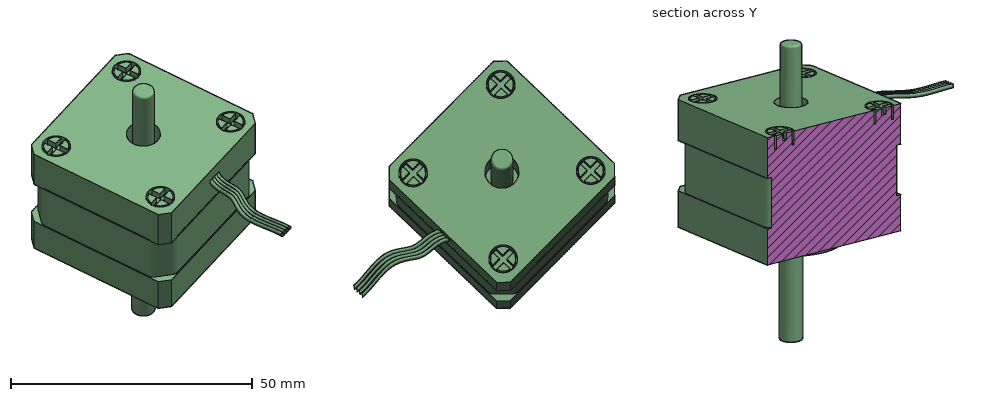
import cadquery as cq
import math


body_width = 35.0
body_chamfer = 2.0
front_cap_height = 8.0
stator_height = 11.0
rear_cap_height = 9.0
stator_width = 34.6
stator_chamfer = 3.65
stator_corner_radius = 2.0

boss_diameter = 22.0
boss_height = 2.0

front_shaft_diameter = 5.0
front_shaft_length = 22.0
shaft_flat_offset = 2.0
rear_shaft_diameter = 4.5
rear_shaft_length = 13.0
front_end_fillet = 0.45
rear_end_fillet = 0.5

shaft_well_diameter = 7.0
shaft_well_depth = rear_cap_height

screw_spacing = 26.0
screw_hole_diameter = 5.9
screw_head_diameter = 5.2
screw_head_height = 3.0
screw_slot_width_x = 1.0
screw_slot_width_y = 1.2
screw_slot_depth = 1.5

wire_count = 4
wire_diameter = 0.9
wire_pitch = 0.786
wire_end_tilt = math.radians(35)
wire_depth_below_top = 3.2
wire_embed = 0.5
overall_length_x = 56.12
wire_start_x = body_width / 2 - wire_embed
wire_end_x = overall_length_x - body_width / 2 - wire_diameter / 2 * math.sin(wire_end_tilt)

wire_centreline = [
    (wire_start_x, 0.75),
    (21.0, -0.75),
    (23.6, -1.15),
    (26.4, -2.88),
    (29.2, -4.18),
    (31.6, -4.43),
    (35.5, -4.2),
    (wire_end_x, -4.15),
]

stator_bottom = front_cap_height
rear_cap_bottom = stator_bottom + stator_height
body_top = rear_cap_bottom + rear_cap_height
boss_bottom = -boss_height


def square_prism(width, chamfer, bottom, height):
    """Square block, centred on the axis, with chamfered vertical corners."""
    block = cq.Workplane("XY").workplane(offset=bottom).rect(width, width).extrude(height)
    return block.edges("|Z").chamfer(chamfer)


def cylinder(diameter, bottom, height):
    """Upright cylinder on the shaft axis."""
    return cq.Workplane("XY").workplane(offset=bottom).circle(diameter / 2).extrude(height)


def make_housing():
    """Two end caps with the slightly smaller, round-cornered stator between them."""
    front_cap = square_prism(body_width, body_chamfer, 0, front_cap_height)
    stator = square_prism(stator_width, stator_chamfer, stator_bottom, stator_height)
    stator = stator.edges("|Z").fillet(stator_corner_radius)
    rear_cap = square_prism(body_width, body_chamfer, rear_cap_bottom, rear_cap_height)
    boss = cylinder(boss_diameter, boss_bottom, boss_height)
    return front_cap.union(stator).union(rear_cap).union(boss)


def make_front_shaft():
    """Output shaft below the boss, with a flat on its +Y side."""
    shaft_bottom = boss_bottom - front_shaft_length
    shaft = cylinder(front_shaft_diameter, shaft_bottom, front_shaft_length)
    shaft = shaft.faces("<Z").edges().fillet(front_end_fillet)
    flat_cutter = (
        cq.Workplane("XY")
        .workplane(offset=shaft_bottom)
        .center(0, shaft_flat_offset + front_shaft_diameter / 2)
        .rect(front_shaft_diameter, front_shaft_diameter)
        .extrude(front_shaft_length)
    )
    return shaft.cut(flat_cutter)


def make_rear_shaft():
    """Rear shaft, rising from the floor of its clearance well."""
    well_floor = body_top - shaft_well_depth
    shaft = cylinder(rear_shaft_diameter, well_floor, shaft_well_depth + rear_shaft_length)
    return shaft.faces(">Z").edges().fillet(rear_end_fillet)


def make_shaft_well():
    """Round clearance well that surrounds the rear shaft."""
    return cylinder(shaft_well_diameter, body_top - shaft_well_depth, shaft_well_depth)


def make_screw_recesses():
    """Ring gap around each flush screw head plus the cross slot in the head."""
    top = cq.Workplane("XY").workplane(offset=body_top)
    centres = top.rect(screw_spacing, screw_spacing, forConstruction=True).vertices()
    gaps = (
        centres.circle(screw_hole_diameter / 2)
        .circle(screw_head_diameter / 2)
        .extrude(-screw_head_height)
    )
    slots_along_x = centres.rect(screw_head_diameter, screw_slot_width_y).extrude(-screw_slot_depth)
    slots_along_y = centres.rect(screw_slot_width_x, screw_head_diameter).extrude(-screw_slot_depth)
    return gaps.union(slots_along_x).union(slots_along_y)


def make_wire(offset):
    """One lead wire: a tilted disc carried along the centreline without turning, shifted along Y."""
    wire_z = body_top - wire_depth_below_top
    points = [(x, y + offset) for x, y in wire_centreline]
    path = cq.Workplane("XY").workplane(offset=wire_z).spline(points)
    end_normal = (math.cos(wire_end_tilt), -math.sin(wire_end_tilt), 0)
    section_plane = cq.Plane(origin=path.val().startPoint(), xDir=(0, 0, 1), normal=end_normal)
    section = cq.Workplane(section_plane).circle(wire_diameter / 2)
    return section.sweep(path, normal=end_normal)


def make_wires():
    """Flat ribbon of parallel wires, evenly spaced along Y."""
    middle = (wire_count - 1) / 2
    return [make_wire((index - middle) * wire_pitch) for index in range(wire_count)]


result = make_housing().union(make_front_shaft())
result = result.cut(make_shaft_well()).union(make_rear_shaft())
result = result.cut(make_screw_recesses())
for wire in make_wires():
    result = result.union(wire)